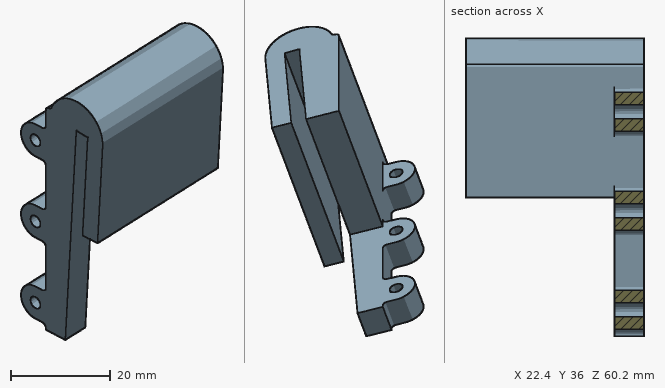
import cadquery as cq
import math

height = 60.2
depth = 36.0
front_depth = 6.0

head_radius = 7.2
head_x = 22.4 - head_radius
head_z = height - head_radius

back_x = 6.8
bottom_right_x = 12.15
shoulder_z = 54.95
shoulder_round = 0.85
neck_fillet = 0.8

slot_width = 3.1
leg_bottom_z = 28.0

lug_radius = 4.0
hole_diameter = 2.7
lowest_lug_z = 5.35
lug_pitch = 20.0
lug_count = 3
lug_fillet = 0.95
lug_root_x = 8.4

slant = math.atan2(head_x - bottom_right_x, head_z)


def slanted_point(offset, z):
    """Point at height z on the line parallel to the clamping face, offset outward."""
    x = head_x + offset / math.cos(slant) - (head_z - z) * math.tan(slant)
    return x, z


def from_head(distance, angle):
    """Point at a distance and angle (radians) from the head centre."""
    return head_x + distance * math.cos(angle), head_z + distance * math.sin(angle)


def extrude_back(sketch, length):
    """Extrude an XZ sketch from the front face toward +Y."""
    return sketch.extrude(-length)


def make_hook():
    """Full-depth hook: plate, rounded head and leg in one outline."""
    neck_distance = head_radius + neck_fillet
    neck_angle = math.pi - math.asin((shoulder_z + neck_fillet - head_z) / neck_distance)
    neck_x, neck_z = from_head(neck_distance, neck_angle)
    neck_mid_angle = (neck_angle - math.pi - math.pi / 2) / 2
    neck_mid = (
        neck_x + neck_fillet * math.cos(neck_mid_angle),
        neck_z + neck_fillet * math.sin(neck_mid_angle),
    )
    corner_inset = shoulder_round * (1 - math.sqrt(0.5))
    outline = (
        cq.Workplane("XZ")
        .moveTo(bottom_right_x, 0)
        .lineTo(back_x, 0)
        .lineTo(back_x, shoulder_z - shoulder_round)
        .threePointArc(
            (back_x + corner_inset, shoulder_z - corner_inset),
            (back_x + shoulder_round, shoulder_z),
        )
        .lineTo(neck_x, shoulder_z)
        .threePointArc(neck_mid, from_head(head_radius, neck_angle))
        .threePointArc(from_head(head_radius, math.pi / 2), from_head(head_radius, -slant))
        .lineTo(*slanted_point(head_radius, leg_bottom_z))
        .lineTo(*slanted_point(slot_width, leg_bottom_z))
        .lineTo(*from_head(slot_width, -slant))
        .lineTo(head_x, head_z)
        .close()
    )
    return extrude_back(outline, depth)


def make_lug(z):
    """Round-ended lug at height z, flared by fillets where it meets the back face."""
    fillet_start_x = back_x - lug_fillet
    fillet_inset = lug_fillet * (1 - math.sqrt(0.5))
    flare_z = lug_radius + lug_fillet
    outline = (
        cq.Workplane("XZ")
        .moveTo(lug_radius, z + lug_radius)
        .threePointArc((0, z), (lug_radius, z - lug_radius))
        .lineTo(fillet_start_x, z - lug_radius)
        .threePointArc(
            (back_x - fillet_inset, z - lug_radius - fillet_inset),
            (back_x, z - flare_z),
        )
        .lineTo(lug_root_x, z - flare_z)
        .lineTo(lug_root_x, z + flare_z)
        .lineTo(back_x, z + flare_z)
        .threePointArc(
            (back_x - fillet_inset, z + lug_radius + fillet_inset),
            (fillet_start_x, z + lug_radius),
        )
        .close()
    )
    return extrude_back(outline, front_depth)


lower_cut = cq.Workplane("XY").box(
    head_x, depth - front_depth, leg_bottom_z, centered=False
).translate((0, front_depth, 0))
result = make_hook().cut(lower_cut)

for index in range(lug_count):
    lug_z = lowest_lug_z + index * lug_pitch
    hole = cq.Workplane("XZ").center(lug_radius, lug_z).circle(hole_diameter / 2)
    result = result.union(make_lug(lug_z)).cut(extrude_back(hole, front_depth))